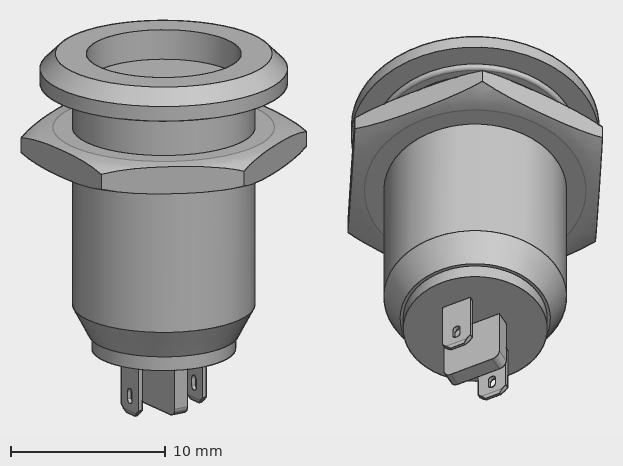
import cadquery as cq
import math


bezel_diameter = 16.0
bezel_height = 2.0
bezel_chamfer = 1.0
barrel_diameter = 11.8
barrel_bottom_z = -17.0
taper_height = 2.0
taper_end_diameter = 9.7
recess_diameter = 10.0
recess_depth = 2.0

gasket_diameter = 13.3
gasket_height = 0.5

nut_across_flats = 16.0
nut_across_corners = nut_across_flats / math.cos(math.pi / 6)
nut_height = 2.0
nut_bottom_z = -7.0
nut_face_diameter = 14.3
nut_corner_drop = 0.5

base_diameter = 9.3
base_height = 1.0
base_top_z = barrel_bottom_z - taper_height
base_bottom_z = base_top_z - base_height
partition_length = 4.0
partition_width = 4.0
partition_thickness = 1.0
partition_corner_radius = 0.5

terminal_width = 2.0
terminal_thickness = 0.3
terminal_length = 4.0
terminal_offset = 2.5
terminal_corner_chamfer = 0.5
tip_bevel_height = 0.25
tip_bevel_depth = 0.075
eyelet_width = 0.5
eyelet_height = 1.0
eyelet_center_z = -22.75


def make_housing():
    bezel_radius = bezel_diameter / 2
    barrel_radius = barrel_diameter / 2
    profile = [
        (0, 0),
        (bezel_radius - bezel_chamfer, 0),
        (bezel_radius, -bezel_chamfer),
        (bezel_radius, -bezel_height),
        (barrel_radius, -bezel_height),
        (barrel_radius, barrel_bottom_z),
        (taper_end_diameter / 2, base_top_z),
        (0, base_top_z),
    ]
    body = cq.Workplane("XZ").polyline(profile).close().revolve(360, (0, 0), (0, 1))
    recess = cq.Workplane("XY").circle(recess_diameter / 2).extrude(-recess_depth)
    return body.cut(recess)


def make_gasket():
    inner_radius = barrel_diameter / 2
    outer_radius = gasket_diameter / 2
    rim_radius = gasket_height / 2
    top_z = -bezel_height
    return (
        cq.Workplane("XZ")
        .moveTo(inner_radius, top_z)
        .lineTo(outer_radius - rim_radius, top_z)
        .threePointArc((outer_radius, top_z - rim_radius), (outer_radius - rim_radius, top_z - gasket_height))
        .lineTo(inner_radius, top_z - gasket_height)
        .close()
        .revolve(360, (0, 0), (0, 1))
    )


def make_nut():
    hexagon = (
        cq.Workplane("XY", origin=(0, 0, nut_bottom_z))
        .polygon(6, nut_across_corners)
        .circle(barrel_diameter / 2)
        .extrude(nut_height)
    )
    face_radius = nut_face_diameter / 2
    corner_radius = nut_across_corners / 2
    top_z = nut_bottom_z + nut_height
    shoulder_span = corner_radius - face_radius
    shoulder_radius = (shoulder_span**2 + nut_corner_drop**2) / (2 * nut_corner_drop)
    half_angle = math.asin(shoulder_span / shoulder_radius) / 2
    mid_radius = face_radius + shoulder_radius * math.sin(half_angle)
    mid_drop = shoulder_radius * (1 - math.cos(half_angle))
    envelope = (
        cq.Workplane("XZ")
        .moveTo(0, nut_bottom_z)
        .lineTo(face_radius, nut_bottom_z)
        .threePointArc((mid_radius, nut_bottom_z + mid_drop), (corner_radius, nut_bottom_z + nut_corner_drop))
        .lineTo(corner_radius, top_z - nut_corner_drop)
        .threePointArc((mid_radius, top_z - mid_drop), (face_radius, top_z))
        .lineTo(0, top_z)
        .close()
        .revolve(360, (0, 0), (0, 1))
    )
    return hexagon.intersect(envelope)


def make_base():
    disc = cq.Workplane("XY", origin=(0, 0, base_top_z)).circle(base_diameter / 2).extrude(-base_height)
    partition = (
        cq.Workplane("XY", origin=(0, 0, base_bottom_z))
        .rect(partition_width, partition_thickness)
        .extrude(-partition_length)
        .faces("<Z")
        .edges("|Y")
        .fillet(partition_corner_radius)
    )
    return disc.union(partition)


def make_terminal(y_center):
    half_thickness = terminal_thickness / 2
    tip_half_thickness = half_thickness - tip_bevel_depth
    tip_z = base_bottom_z - terminal_length
    bevel_z = tip_z + tip_bevel_height
    section = [
        (y_center - half_thickness, base_bottom_z),
        (y_center - half_thickness, bevel_z),
        (y_center - tip_half_thickness, tip_z),
        (y_center + tip_half_thickness, tip_z),
        (y_center + half_thickness, bevel_z),
        (y_center + half_thickness, base_bottom_z),
    ]
    half_width = terminal_width / 2
    blade = cq.Workplane("YZ").polyline(section).close().extrude(half_width, both=True)

    tip_half_width = half_width - terminal_corner_chamfer
    shoulder_z = tip_z + terminal_corner_chamfer
    outline = [
        (-half_width, base_bottom_z),
        (-half_width, shoulder_z),
        (-tip_half_width, tip_z),
        (tip_half_width, tip_z),
        (half_width, shoulder_z),
        (half_width, base_bottom_z),
    ]
    outline_prism = (
        cq.Workplane("XZ", origin=(0, y_center, 0))
        .polyline(outline)
        .close()
        .extrude(terminal_thickness, both=True)
    )

    eyelet = (
        cq.Workplane("XZ", origin=(0, y_center, eyelet_center_z))
        .slot2D(eyelet_height, eyelet_width, 90)
        .extrude(terminal_thickness, both=True)
    )
    return blade.intersect(outline_prism).cut(eyelet)


housing = make_housing()
gasket = make_gasket()
nut = make_nut()
base = make_base()
terminals = [make_terminal(side * terminal_offset) for side in (-1, 1)]

result = cq.Compound.makeCompound(
    [
        housing.val(),
        gasket.val(),
        nut.val(),
        base.val(),
        *[terminal.val() for terminal in terminals],
    ]
)